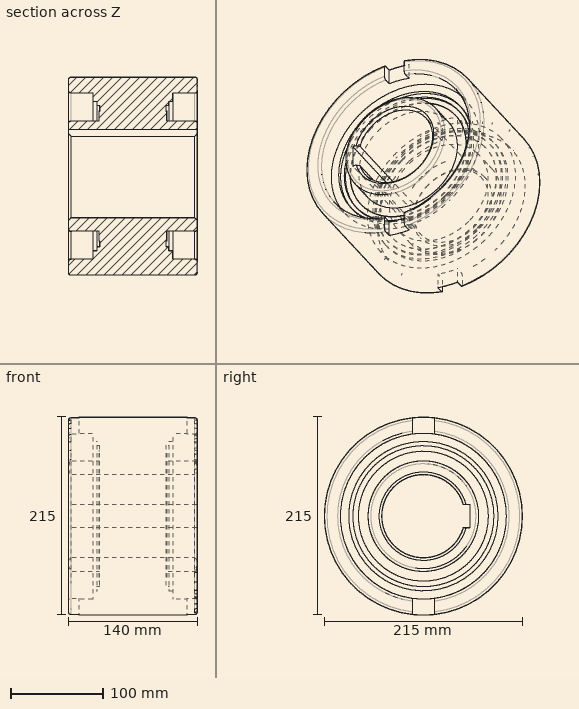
import cadquery as cq

length = 140.0
outer_diameter = 215.0
edge_radius = 3.0

hub_diameter = 120.0
bore_diameter = 90.0
bore_chamfer = 3.0
keyway_width = 25.0
keyway_depth = 5.4

recess_steps = [
    (180.0, 26.5),
    (162.0, 31.0),
    (153.0, 34.0),
    (141.0, 33.0),
]

slot_width = 24.0
slot_depth = 11.5

half_length = length / 2
outer_radius = outer_diameter / 2
hub_radius = hub_diameter / 2
bore_radius = bore_diameter / 2
recess_radius = recess_steps[0][0] / 2


def ring(inner_radius, ring_radius, x_start, thickness):
    """Annular disc around X, from x_start towards +X."""
    return (
        cq.Workplane("YZ", origin=(x_start, 0, 0))
        .circle(ring_radius)
        .circle(inner_radius)
        .extrude(thickness)
    )


def make_rim():
    """Outer sleeve with all four edges rounded."""
    return ring(recess_radius, outer_radius, -half_length, length).edges("%CIRCLE").fillet(edge_radius)


def make_hub():
    """Inner sleeve, rounded outside and chamfered at the bore."""
    sleeve = ring(bore_radius, hub_radius, -half_length, length)
    bore_edges = cq.selectors.RadiusNthSelector(0)
    outside_edges = cq.selectors.RadiusNthSelector(-1)
    return sleeve.edges(bore_edges).chamfer(bore_chamfer).edges(outside_edges).fillet(edge_radius)


def make_web():
    """Rings joining hub and rim, one per recess step."""
    web = cq.Workplane("YZ")
    inner_radii = [diameter / 2 for diameter, _ in recess_steps[1:]] + [hub_radius]
    for (diameter, depth), inner_radius in zip(recess_steps, inner_radii):
        step = ring(inner_radius, diameter / 2, depth - half_length, length - 2 * depth)
        web = web.add(step)
    return web.combine()


def make_keyway():
    """Keyway running the full length of the bore."""
    keyway_floor = bore_radius + keyway_depth
    return cq.Workplane("XY").box(length, keyway_floor, keyway_width, centered=(True, False, True))


def make_slots():
    """Rectangular cutters for the slots through the rim at both ends."""
    slot_centre_x = half_length - slot_depth / 2
    rim_height = outer_radius - hub_radius
    rim_centre_z = hub_radius + rim_height / 2
    positions = [(x, 0, z) for x in (-slot_centre_x, slot_centre_x) for z in (-rim_centre_z, rim_centre_z)]
    return cq.Workplane("XY").pushPoints(positions).box(slot_depth, slot_width, rim_height)


result = make_rim().union(make_web()).union(make_hub()).cut(make_keyway()).cut(make_slots())